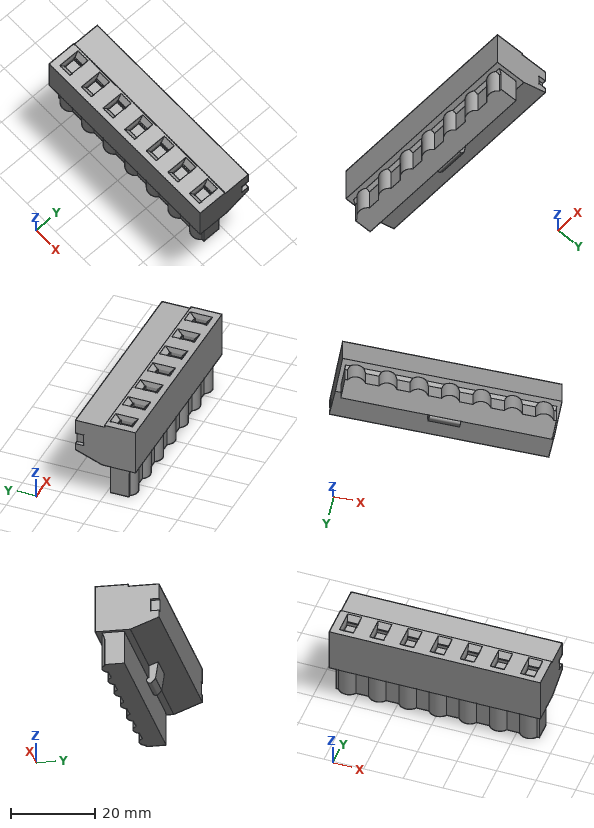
import cadquery as cq
import math

POLE_COUNT = 7
PITCH = 7.62
LENGTH = POLE_COUNT * PITCH
POLE_CENTRES = [(i - (POLE_COUNT - 1) / 2) * PITCH for i in range(POLE_COUNT)]

DEPTH = 15.5
HEIGHT = 19.85
HOUSING_BOTTOM = 8.2
STEP_Y = 8.0
STEP_DROP = 0.5
SLOPE_START_Y = 8.55
SLOPE_END_Z = 10.8

NOTCH_INSET = 1.0
NOTCH_DEPTH = 2.1
NOTCH_BOTTOM = 12.55
NOTCH_TOP = 15.6

FUNNEL_WIDTH = 3.5
FUNNEL_FRONT = 1.6
FUNNEL_BACK = 7.4
FUNNEL_DEPTH = 1.25
THROAT_WIDTH = 2.8
THROAT_FRONT = 2.7
THROAT_BACK = 6.1
POCKET_BACK = 5.8
POCKET_DEPTH = 0.9

PLUG_INSET = 1.0
PLUG_FRONT = 2.1
PLUG_BACK = 6.9
PLUG_TAPER_FRONT = 1.5
PLUG_TAPER_START_Z = 6.65
COLUMN_FRONT = 0.93
COLUMN_WIDTH = 4.4

FINGER_WIDTH = PITCH
FINGER_ROOT_BACK = 10.8
FINGER_INNER_Y = SLOPE_START_Y
FINGER_KNEE = (10.15, 4.85)
FINGER_TIP_DIAMETER = 1.6
FINGER_TIP_CENTRE = (8.77, 4.5)
FINGER_ROOT_TOP = 10.0


def extrude_along_x(profile, x_start, length):
    """Extrude a closed Y-Z polygon along +X from x_start."""
    return cq.Workplane("YZ", origin=(x_start, 0, 0)).polyline(profile).close().extrude(length)


def box_between(x_range, y_range, z_range):
    """Make a box from its lower and upper limits on each axis."""
    (x0, x1), (y0, y1), (z0, z1) = x_range, y_range, z_range
    return cq.Workplane("XY").box(x1 - x0, y1 - y0, z1 - z0, centered=False).translate((x0, y0, z0))


def make_housing():
    rear_top = HEIGHT - STEP_DROP
    profile = [
        (0, HOUSING_BOTTOM),
        (SLOPE_START_Y, HOUSING_BOTTOM),
        (DEPTH, SLOPE_END_Z),
        (DEPTH, rear_top),
        (STEP_Y, rear_top),
        (STEP_Y, HEIGHT),
        (0, HEIGHT),
    ]
    return extrude_along_x(profile, -LENGTH / 2, LENGTH)


def make_end_notches():
    notch = box_between(
        (-LENGTH / 2, -LENGTH / 2 + NOTCH_INSET),
        (DEPTH - NOTCH_DEPTH, DEPTH),
        (NOTCH_BOTTOM, NOTCH_TOP),
    )
    return notch.union(notch.mirror("YZ"))


def make_wire_entry():
    throat_z = HEIGHT - FUNNEL_DEPTH
    funnel_centre = (FUNNEL_FRONT + FUNNEL_BACK) / 2
    throat_centre = (THROAT_FRONT + THROAT_BACK) / 2
    funnel = (
        cq.Workplane("XY", origin=(0, funnel_centre, HEIGHT))
        .rect(FUNNEL_WIDTH, FUNNEL_BACK - FUNNEL_FRONT)
        .workplane(offset=-FUNNEL_DEPTH)
        .center(0, throat_centre - funnel_centre)
        .rect(THROAT_WIDTH, THROAT_BACK - THROAT_FRONT)
        .loft(ruled=True)
    )
    pocket = box_between(
        (-THROAT_WIDTH / 2, THROAT_WIDTH / 2),
        (THROAT_FRONT, POCKET_BACK),
        (throat_z - POCKET_DEPTH, throat_z),
    )
    return funnel.union(pocket)


def make_plug_bar():
    profile = [
        (PLUG_FRONT, 0),
        (PLUG_BACK, 0),
        (PLUG_BACK, HOUSING_BOTTOM),
        (PLUG_TAPER_FRONT, HOUSING_BOTTOM),
        (PLUG_FRONT, PLUG_TAPER_START_Z),
    ]
    return extrude_along_x(profile, -LENGTH / 2 + PLUG_INSET, LENGTH - 2 * PLUG_INSET)


def make_column():
    half_width = COLUMN_WIDTH / 2
    return (
        cq.Workplane("XY")
        .moveTo(-half_width, PLUG_BACK)
        .lineTo(-half_width, PLUG_FRONT)
        .threePointArc((0, COLUMN_FRONT), (half_width, PLUG_FRONT))
        .lineTo(half_width, PLUG_BACK)
        .close()
        .extrude(HOUSING_BOTTOM)
    )


def make_finger():
    tip_y, tip_z = FINGER_TIP_CENTRE
    knee_y, knee_z = FINGER_KNEE
    tip_radius = FINGER_TIP_DIAMETER / 2
    root_slope = (SLOPE_END_Z - HOUSING_BOTTOM) / (DEPTH - SLOPE_START_Y)
    root_back_z = HOUSING_BOTTOM + root_slope * (FINGER_ROOT_BACK - SLOPE_START_Y)

    knee_angle = math.atan2(knee_z - tip_z, knee_y - tip_y)
    knee_distance = math.hypot(knee_y - tip_y, knee_z - tip_z)
    tangent_angle = knee_angle - math.acos(tip_radius / knee_distance)
    tangent_point = (
        tip_y + tip_radius * math.cos(tangent_angle),
        tip_z + tip_radius * math.sin(tangent_angle),
    )
    shank = extrude_along_x(
        [
            (FINGER_INNER_Y, FINGER_ROOT_TOP),
            (FINGER_ROOT_BACK, FINGER_ROOT_TOP),
            (FINGER_ROOT_BACK, root_back_z),
            FINGER_KNEE,
            tangent_point,
            FINGER_TIP_CENTRE,
            (FINGER_INNER_Y, tip_z),
        ],
        -FINGER_WIDTH / 2,
        FINGER_WIDTH,
    )
    tip = (
        cq.Workplane("YZ", origin=(-FINGER_WIDTH / 2, 0, 0))
        .center(tip_y, tip_z)
        .circle(tip_radius)
        .extrude(FINGER_WIDTH)
    )
    return shank.union(tip)


result = make_housing().cut(make_end_notches()).union(make_plug_bar()).union(make_finger())

wire_entry = make_wire_entry()
column = make_column()
for x in POLE_CENTRES:
    result = result.cut(wire_entry.translate((x, 0, 0)))
    result = result.union(column.translate((x, 0, 0)))